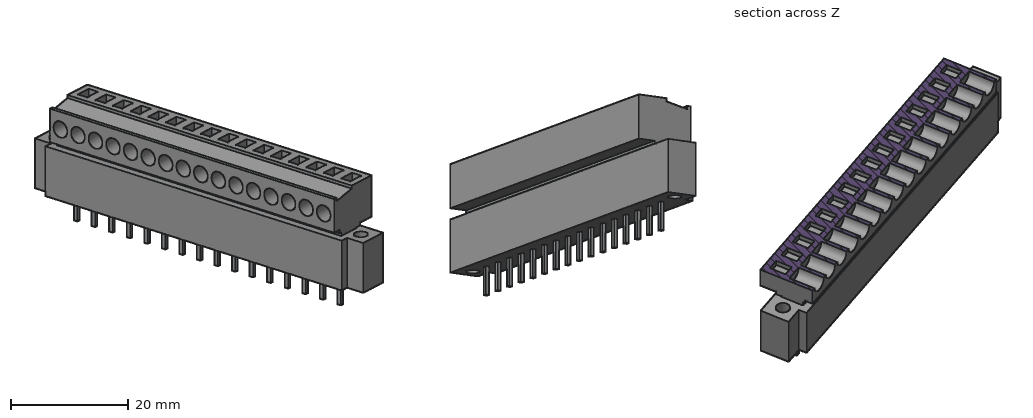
import cadquery as cq

CONTACT_COUNT = 16
CONTACT_SPAN = 57.15
PITCH = CONTACT_SPAN / (CONTACT_COUNT - 1)
CONTACT_XS = [i * PITCH - CONTACT_SPAN / 2 for i in range(CONTACT_COUNT)]

HEADER_LENGTH = 71.25
EAR_STEP = 3.5
HEADER_BACK = 2.9
EAR_FRONT = -2.65
HEADER_FRONT = -4.1
PIN_LENGTH = 5.0
HEADER_HEIGHT = 9.3
HEADER_TOP = PIN_LENGTH + HEADER_HEIGHT
MOUNT_HOLE_D = 2.4
MOUNT_HOLE_INSET = 2.6
PIN_X = 0.8
PIN_Y = 0.65

PLUG_LENGTH = 61.7
PLUG_BACK = 5.85
PLUG_DEPTH = 10.4
PLUG_FRONT = PLUG_BACK - PLUG_DEPTH
PLUG_TOP = 22.7
TOP_STEP_Y = 0.3
TOP_STEP_DROP = 0.6
SLOPE_FOOT_Z = 21.3
LIP_Z = 21.9
LIP_THICKNESS = 0.7
FRONT_BOTTOM_Z = 15.6
SHOULDER_Z = 14.95
FRONT_STEP_Y = -3.05
NECK_FRONT = -2.65
NECK_BACK = 2.7
NECK_BACK_BOTTOM = 14.45
FOOT_BACK = 1.65

SLOT_X = 2.0
SLOT_Y = 3.0
SLOT_DEPTH = 5.0
SLOT_INSET = 1.3
WIRE_HOLE_D = 3.0
WIRE_HOLE_Z = 18.6
WIRE_HOLE_DEPTH = 5.0


def make_header():
    """Base block with ears, mounting holes and one rectangular pin per contact."""
    half = HEADER_LENGTH / 2
    shoulder = half - EAR_STEP
    outline = [
        (-half, HEADER_BACK),
        (half, HEADER_BACK),
        (half, EAR_FRONT),
        (shoulder, EAR_FRONT),
        (shoulder, HEADER_FRONT),
        (-shoulder, HEADER_FRONT),
        (-shoulder, EAR_FRONT),
        (-half, EAR_FRONT),
    ]
    block = cq.Workplane("XY").workplane(offset=PIN_LENGTH).polyline(outline).close().extrude(HEADER_HEIGHT)

    hole_x = half - MOUNT_HOLE_INSET
    holes = (
        cq.Workplane("XY")
        .workplane(offset=PIN_LENGTH)
        .pushPoints([(-hole_x, 0), (hole_x, 0)])
        .circle(MOUNT_HOLE_D / 2)
        .extrude(HEADER_HEIGHT)
    )
    pins = cq.Workplane("XY").pushPoints([(x, 0) for x in CONTACT_XS]).rect(PIN_X, PIN_Y).extrude(PIN_LENGTH)
    return block.cut(holes).union(pins)


def make_plug():
    """Profiled block with a row of screw openings and a row of wire entries."""
    profile = [
        (PLUG_BACK, PLUG_TOP),
        (TOP_STEP_Y, PLUG_TOP),
        (TOP_STEP_Y, PLUG_TOP - TOP_STEP_DROP),
        (PLUG_FRONT + LIP_THICKNESS, SLOPE_FOOT_Z),
        (PLUG_FRONT + LIP_THICKNESS, LIP_Z),
        (PLUG_FRONT, LIP_Z),
        (PLUG_FRONT, FRONT_BOTTOM_Z),
        (FRONT_STEP_Y, FRONT_BOTTOM_Z),
        (FRONT_STEP_Y, SHOULDER_Z),
        (NECK_FRONT, SHOULDER_Z),
        (NECK_FRONT, HEADER_TOP),
        (FOOT_BACK, HEADER_TOP),
        (FOOT_BACK, NECK_BACK_BOTTOM),
        (NECK_BACK, NECK_BACK_BOTTOM),
        (NECK_BACK, SHOULDER_Z),
        (PLUG_BACK, SHOULDER_Z),
    ]
    block = cq.Workplane("YZ").polyline(profile).close().extrude(PLUG_LENGTH / 2, both=True)

    slot_y = PLUG_BACK - SLOT_INSET - SLOT_Y / 2
    slots = (
        cq.Workplane("XY")
        .workplane(offset=PLUG_TOP - SLOT_DEPTH)
        .pushPoints([(x, slot_y) for x in CONTACT_XS])
        .rect(SLOT_X, SLOT_Y)
        .extrude(SLOT_DEPTH)
    )
    wire_holes = (
        cq.Workplane("XZ", origin=(0, PLUG_FRONT, 0))
        .pushPoints([(x, WIRE_HOLE_Z) for x in CONTACT_XS])
        .circle(WIRE_HOLE_D / 2)
        .extrude(-WIRE_HOLE_DEPTH)
    )
    return block.cut(slots).cut(wire_holes)


header = make_header()
plug = make_plug()

result = cq.Compound.makeCompound([header.val(), plug.val()])